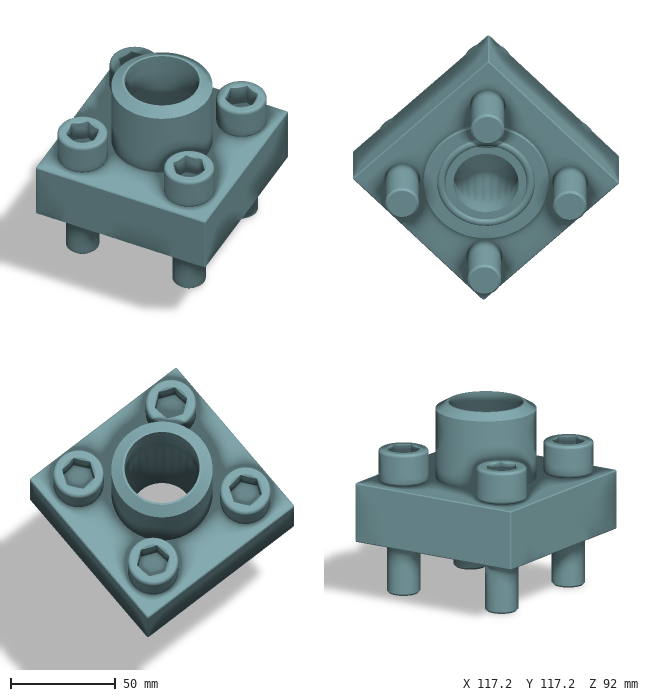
import cadquery as cq
import math

turn_angle = 22.5
overall_width = 117.2

plate_chamfer = 0.5
plate_thickness = 29.1
turn_sin = math.sin(math.radians(turn_angle))
turn_cos = math.cos(math.radians(turn_angle))
plate_side = (overall_width + 2 * plate_chamfer * turn_sin) / (turn_cos + turn_sin)

neck_diameter = 48.3
neck_height = 36.9
neck_bevel_angle = 30.0
neck_land = 1.0

pipe_bore_diameter = 35.8
through_bore_diameter = 31.0
pipe_bore_depth = 18.5
bore_cone_length = 41.0

face_diameter = 60.0
face_height = 2.0
face_chamfer = 0.5

seal_inner_diameter = 38.7
seal_outer_diameter = 46.4
seal_section = (seal_outer_diameter - seal_inner_diameter) / 2
seal_protrusion = 0.7
groove_depth = seal_section - seal_protrusion

screw_count = 4
first_screw_angle = 45.0
bolt_circle_diameter = 80.0
screw_hole_diameter = 17.0
shank_diameter = 16.0
shank_length = 55.1
shank_chamfer = 1.0
head_diameter = 24.0
head_height = 16.0
head_fillet = 1.5
socket_width = 14.0
socket_depth = 10.5
socket_corner_diameter = socket_width / math.cos(math.radians(30))
socket_countersink_angle = 30.0

plate_bottom = -plate_thickness
face_bottom = plate_bottom - face_height


def turned(body):
    """Turn a body from the square position into its final position about Z."""
    return body.rotate((0, 0, 0), (0, 0, 1), turn_angle)


def revolve_profile(points):
    """Solid of revolution about Z from (radius, height) points."""
    return cq.Workplane("XZ").polyline(points).close().revolve(360, (0, 0, 0), (0, 1, 0))


def make_plate():
    return (
        cq.Workplane("XY")
        .workplane(offset=plate_bottom)
        .rect(plate_side, plate_side)
        .extrude(plate_thickness)
        .edges()
        .chamfer(plate_chamfer)
    )


def make_neck():
    radius = neck_diameter / 2
    rim_radius = pipe_bore_diameter / 2 + neck_land
    bevel_height = (radius - rim_radius) * math.tan(math.radians(neck_bevel_angle))
    return revolve_profile([
        (0, 0),
        (radius, 0),
        (radius, neck_height - bevel_height),
        (rim_radius, neck_height),
        (0, neck_height),
    ])


def make_raised_face():
    return (
        cq.Workplane("XY")
        .workplane(offset=face_bottom)
        .circle(face_diameter / 2)
        .extrude(face_height)
        .faces("<Z")
        .edges()
        .chamfer(face_chamfer)
    )


def make_bore():
    cone_top = neck_height - pipe_bore_depth
    cone_bottom = cone_top - bore_cone_length
    return revolve_profile([
        (0, face_bottom),
        (through_bore_diameter / 2, face_bottom),
        (through_bore_diameter / 2, cone_bottom),
        (pipe_bore_diameter / 2, cone_top),
        (pipe_bore_diameter / 2, neck_height),
        (0, neck_height),
    ])


def make_seal_groove():
    return (
        cq.Workplane("XY")
        .workplane(offset=face_bottom)
        .circle(seal_outer_diameter / 2)
        .circle(seal_inner_diameter / 2)
        .extrude(groove_depth)
    )


def make_screw_holes():
    return (
        cq.Workplane("XY")
        .polarArray(bolt_circle_diameter / 2, first_screw_angle, 360, screw_count)
        .circle(screw_hole_diameter / 2)
        .extrude(plate_bottom)
    )


def make_flange():
    body = make_plate().union(make_neck()).union(make_raised_face())
    return body.cut(make_bore()).cut(make_seal_groove()).cut(make_screw_holes())


def make_seal_ring():
    """Round-section ring resting on the groove floor and standing out below the face."""
    section_radius = seal_section / 2
    ring_radius = seal_inner_diameter / 2 + section_radius
    section_height = face_bottom + groove_depth - section_radius
    return (
        cq.Workplane("XZ")
        .center(ring_radius, section_height)
        .circle(section_radius)
        .revolve(360, (-ring_radius, 0, 0), (-ring_radius, 1, 0))
    )


def make_socket():
    """Hexagonal recess with a conical mouth as wide as the hexagon's corners."""
    mouth_radius = socket_corner_diameter / 2
    hexagon = (
        cq.Workplane("XY")
        .workplane(offset=head_height)
        .polygon(6, socket_corner_diameter)
        .extrude(-socket_depth)
    )
    cone_height = mouth_radius * math.tan(math.radians(socket_countersink_angle))
    mouth = revolve_profile([
        (0, head_height),
        (mouth_radius, head_height),
        (0, head_height - cone_height),
    ])
    return hexagon.union(mouth)


def make_screw():
    """Socket head screw on the Z axis, head seated at Z = 0."""
    head = (
        cq.Workplane("XY")
        .circle(head_diameter / 2)
        .extrude(head_height)
        .edges("%CIRCLE")
        .fillet(head_fillet)
    )
    shank = (
        cq.Workplane("XY")
        .circle(shank_diameter / 2)
        .extrude(-shank_length)
        .faces("<Z")
        .edges()
        .chamfer(shank_chamfer)
    )
    return head.union(shank).cut(make_socket())


def place_screw(index):
    """Screw on the bolt circle; its socket turns with its position around the circle."""
    socket_turn = -turn_angle
    return (
        make_screw()
        .rotate((0, 0, 0), (0, 0, 1), socket_turn - first_screw_angle)
        .translate((bolt_circle_diameter / 2, 0, 0))
        .rotate((0, 0, 0), (0, 0, 1), first_screw_angle + index * 360 / screw_count)
    )


flange = turned(make_flange())
seal_ring = turned(make_seal_ring())
screws = [turned(place_screw(index)) for index in range(screw_count)]

result = cq.Compound.makeCompound([
    flange.val(),
    seal_ring.val(),
    *[screw.val() for screw in screws],
])